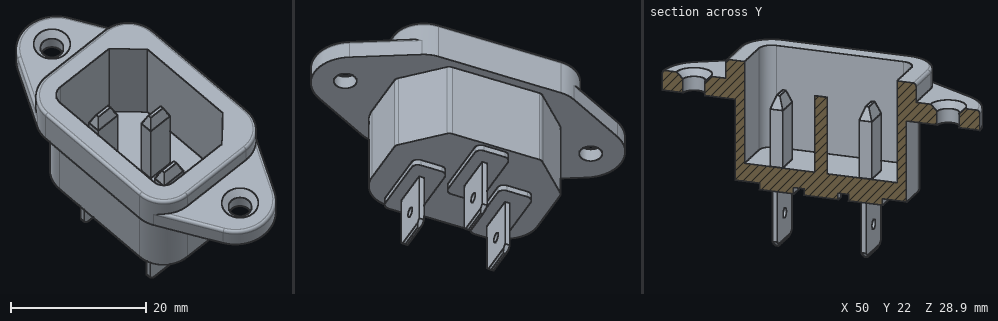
import cadquery as cq
import math

rim_height = 6.2
ear_height = 3.2
body_depth = 12.7
pad_height = 1
tab_length = 9
body_bottom = -body_depth
pad_bottom = body_bottom - pad_height

overall_length = 50
rim_length = 30
rim_width = 22
rim_corner = 5
ear_radius = 6
edge_round = 0.5
screw_spacing = 40
screw_diameter = 3.4
countersink_diameter = 5.4
countersink_angle = 90

body_length = 27
body_width = 19.2
body_corner = 5
body_bevel = 6
body_bevel_round = 1

cavity_length = 24
cavity_width = 16
cavity_depth = 16
cavity_bevel = 4
cavity_corner = 2

pin_spacing = 7
pin_offset = 2
pin_thickness = 2
pin_width = 4
ground_pin_gap = 2
live_pin_gap = 5
pin_tip_height = 2
pin_tip_inset = 0.75

tab_offset = 3.5
pad_length = 11.2
pad_thickness = 5.4
pad_corner = 1
tab_thickness = 0.8
tab_width = 6.3
tab_corner = 1
tab_hole_diameter = 1.5
tab_edge_height = 0.5
tab_edge_inset = 0.2

contacts = [
    (-pin_spacing, -1, live_pin_gap),
    (0, 1, ground_pin_gap),
    (pin_spacing, -1, live_pin_gap),
]


def beveled_block(length, width, bevel, corner, bottom, height):
    """Block with bevelled +Y corners and rounded -Y corners."""
    block = cq.Workplane("XY").workplane(offset=bottom).rect(length, width).extrude(height)
    block = block.edges("|Z and >Y").chamfer(bevel)
    return block.edges("|Z and <Y").fillet(corner)


def make_rim():
    rim = cq.Workplane("XY").rect(rim_length, rim_width).extrude(rim_height)
    return rim.edges("|Z").fillet(rim_corner).faces(">Z").edges().fillet(edge_round)


def make_ears():
    """Plate whose sides are tangent to the ear ends and to the rim corners."""
    ear_x = overall_length / 2 - ear_radius
    corner_x = rim_length / 2 - rim_corner
    corner_y = rim_width / 2 - rim_corner
    run = ear_x - corner_x
    span = math.hypot(run, corner_y)
    normal_angle = math.atan2(run, corner_y) + math.asin((ear_radius - rim_corner) / span)
    nx = math.cos(normal_angle)
    ny = math.sin(normal_angle)
    ear_tangent = (ear_x + ear_radius * nx, ear_radius * ny)
    rim_tangent = (corner_x + rim_corner * nx, corner_y + rim_corner * ny)
    plate = (
        cq.Workplane("XY")
        .moveTo(-rim_tangent[0], rim_tangent[1])
        .lineTo(*rim_tangent)
        .lineTo(*ear_tangent)
        .threePointArc((overall_length / 2, 0), (ear_tangent[0], -ear_tangent[1]))
        .lineTo(rim_tangent[0], -rim_tangent[1])
        .lineTo(-rim_tangent[0], -rim_tangent[1])
        .lineTo(-ear_tangent[0], -ear_tangent[1])
        .threePointArc((-overall_length / 2, 0), (-ear_tangent[0], ear_tangent[1]))
        .close()
        .extrude(ear_height)
    )
    plate = plate.faces(">Z").edges().fillet(edge_round)
    return (
        plate.faces(">Z")
        .workplane(origin=(0, 0, ear_height))
        .pushPoints([(-screw_spacing / 2, 0), (screw_spacing / 2, 0)])
        .cskHole(screw_diameter, countersink_diameter, countersink_angle)
    )


def make_body():
    body = beveled_block(body_length, body_width, body_bevel, body_corner, body_bottom, body_depth)
    bevel_zone = cq.selectors.BoxSelector(
        (-body_length, body_width / 2 - body_bevel - body_bevel_round, body_bottom),
        (body_length, body_width, 0),
    )
    return body.edges("|Z").edges(bevel_zone).fillet(body_bevel_round)


def make_pin(x, side, top_gap):
    """Rectangular pin with a four-sided tapered tip, standing on the cavity floor."""
    floor = rim_height - cavity_depth
    shoulder = rim_height - top_gap - pin_tip_height
    shaft = (
        cq.Workplane("XY", origin=(x, side * pin_offset, floor))
        .rect(pin_thickness, pin_width)
        .extrude(shoulder - floor)
    )
    tip = (
        shaft.faces(">Z")
        .workplane()
        .rect(pin_thickness, pin_width)
        .workplane(offset=pin_tip_height)
        .rect(pin_thickness - 2 * pin_tip_inset, pin_width - 2 * pin_tip_inset)
        .loft(combine=False)
    )
    return shaft.union(tip)


def make_pad(x, side):
    pad = (
        cq.Workplane("XY", origin=(x, side * tab_offset, pad_bottom))
        .rect(pad_thickness, pad_length)
        .extrude(pad_height)
    )
    return pad.edges("|Z").fillet(pad_corner)


def make_tab(x, side):
    """Flat blade with one face on the pin axis, a cross hole and a bevelled end."""
    tip = pad_bottom - tab_length
    near_side = side * tab_offset - tab_width / 2
    blade = (
        cq.Workplane("XZ", origin=(0, near_side, 0))
        .polyline([
            (x, pad_bottom),
            (x, tip + tab_edge_height),
            (x + tab_edge_inset, tip),
            (x + tab_thickness - tab_edge_inset, tip),
            (x + tab_thickness, tip + tab_edge_height),
            (x + tab_thickness, pad_bottom),
        ])
        .close()
        .extrude(-tab_width)
    )
    outline = (
        cq.Workplane("YZ", origin=(x, side * tab_offset, pad_bottom - tab_length / 2))
        .rect(tab_width, tab_length)
        .extrude(tab_thickness)
        .edges("|X and <Z")
        .chamfer(tab_corner)
    )
    hole = (
        cq.Workplane("YZ", origin=(x, side * tab_offset, pad_bottom - tab_length / 2))
        .circle(tab_hole_diameter / 2)
        .extrude(tab_thickness)
    )
    return blade.intersect(outline).cut(hole)


cavity = beveled_block(
    cavity_length, cavity_width, cavity_bevel, cavity_corner, rim_height - cavity_depth, cavity_depth
)
result = make_ears().union(make_rim()).union(make_body()).cut(cavity)
for contact_x, contact_side, tip_gap in contacts:
    result = result.union(make_pin(contact_x, contact_side, tip_gap))
    result = result.union(make_pad(contact_x, contact_side))
    result = result.union(make_tab(contact_x, contact_side))